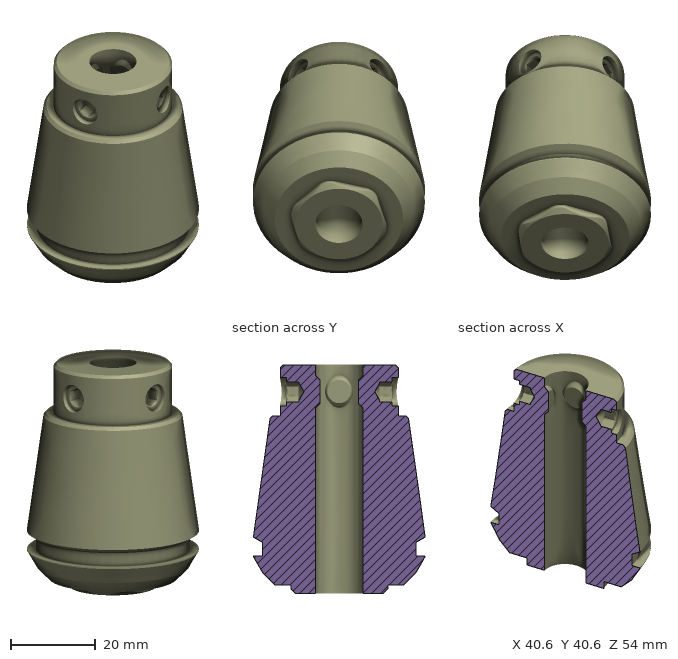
import cadquery as cq
import math

total_height = 54

collar_diameter = 27.95
collar_height = 12.0
edge_chamfer = 0.7

sleeve_diameter = 40.65
sleeve_taper = 8
sleeve_bottom_z = 13.35
groove_diameter = 36.35
groove_bevel_angle = 30
groove_floor_z = 8.95

flange_diameter = 40.55
flange_rim_height = 0.25
flange_knee_z = 4.8
flange_upper_angle = 30
flange_lower_angle = 45

foot_height = 1.95
foot_across_flats = 21.0
foot_corner_radius = 4.0
foot_bottom_diameter = 20.7

bore_diameter = 11.1

screw_count = 4
screw_diameter = 8.0
screw_hole_diameter = 6.65
screw_depth_from_top = 6.35
screw_outer_radius = 12.55
screw_tip_gap = 8.95
screw_tip_chamfer = 1.25
socket_across_flats = 4.0
socket_mouth_diameter = 4.75
socket_depth = 2.95
socket_point_angle = 120


def tan_deg(angle):
    return math.tan(math.radians(angle))


def hexagon_prism(plane, across_flats, length):
    """Hexagonal prism with two corners on the first axis of its plane."""
    across_corners = across_flats / math.cos(math.radians(30))
    return cq.Workplane(plane).polygon(6, across_corners).extrude(length)


def body():
    """Collar, tapered sleeve, groove and flange turned as one profile."""
    collar_radius = collar_diameter / 2
    sleeve_radius = sleeve_diameter / 2
    groove_radius = groove_diameter / 2
    flange_radius = flange_diameter / 2
    collar_base_z = total_height - collar_height
    chamfer_base_z = collar_base_z - edge_chamfer
    sleeve_top_radius = sleeve_radius - (chamfer_base_z - sleeve_bottom_z) * tan_deg(sleeve_taper)
    groove_top_z = sleeve_bottom_z - (sleeve_radius - groove_radius) * tan_deg(groove_bevel_angle)
    rim_base_z = groove_floor_z - flange_rim_height
    knee_radius = flange_radius - (rim_base_z - flange_knee_z) * tan_deg(flange_upper_angle)
    flange_base_radius = knee_radius - (flange_knee_z - foot_height) * tan_deg(flange_lower_angle)
    profile = [
        (0, foot_height),
        (flange_base_radius, foot_height),
        (knee_radius, flange_knee_z),
        (flange_radius, rim_base_z),
        (flange_radius, groove_floor_z),
        (groove_radius, groove_floor_z),
        (groove_radius, groove_top_z),
        (sleeve_radius, sleeve_bottom_z),
        (sleeve_top_radius, chamfer_base_z),
        (sleeve_top_radius - edge_chamfer, collar_base_z),
        (collar_radius, collar_base_z),
        (collar_radius, total_height - edge_chamfer),
        (collar_radius - edge_chamfer, total_height),
        (0, total_height),
    ]
    return cq.Workplane("XZ").polyline(profile).close().revolve(360, (0, 0), (0, 1))


def foot():
    """Rounded hexagon with corners on the X axis, its bottom edge turned to a 45 degree cone."""
    hexagon = hexagon_prism("XY", foot_across_flats, foot_height).edges("|Z").fillet(foot_corner_radius)
    bottom_radius = foot_bottom_diameter / 2
    top_radius = bottom_radius + foot_height
    cone = cq.Workplane("XY").add(cq.Solid.makeCone(bottom_radius, top_radius, foot_height))
    return hexagon.intersect(cone)


def bore():
    return cq.Workplane("XY").circle(bore_diameter / 2).extrude(total_height)


def socket():
    """Hexagonal socket along +X from x = 0, with a countersunk mouth and a conical end."""
    hexagon = hexagon_prism("ZY", socket_across_flats, -socket_depth)
    point_radius = socket_across_flats / 2
    point_length = point_radius / tan_deg(socket_point_angle / 2)
    mouth_radius = socket_mouth_diameter / 2
    inward = cq.Vector(1, 0, 0)
    point = cq.Solid.makeCone(point_radius, 0, point_length, cq.Vector(socket_depth, 0, 0), inward)
    mouth = cq.Solid.makeCone(mouth_radius, 0, mouth_radius, cq.Vector(0, 0, 0), inward)
    return hexagon.union(cq.Workplane(point)).union(cq.Workplane(mouth))


def screw():
    """Set screw lying along +X on the -X side, with a chamfered tip and a socket in its outer end."""
    screw_length = screw_outer_radius - screw_tip_gap / 2
    return (
        cq.Workplane("YZ")
        .circle(screw_diameter / 2)
        .extrude(screw_length)
        .faces(">X")
        .chamfer(screw_tip_chamfer)
        .cut(socket())
        .translate((-screw_outer_radius, 0, total_height - screw_depth_from_top))
    )


def screw_hole():
    """Radial hole on the -X side, from the collar's outside to the middle of the bore."""
    return (
        cq.Workplane("YZ", origin=(-collar_diameter / 2, 0, total_height - screw_depth_from_top))
        .circle(screw_hole_diameter / 2)
        .extrude(collar_diameter / 2)
    )


def turned(shape, index):
    """The shape turned about Z to the position of one of the screws."""
    return shape.rotate((0, 0, 0), (0, 0, 1), index * 360 / screw_count)


result = body().union(foot()).cut(bore())
for index in range(screw_count):
    result = result.cut(turned(screw_hole(), index)).union(turned(screw(), index))